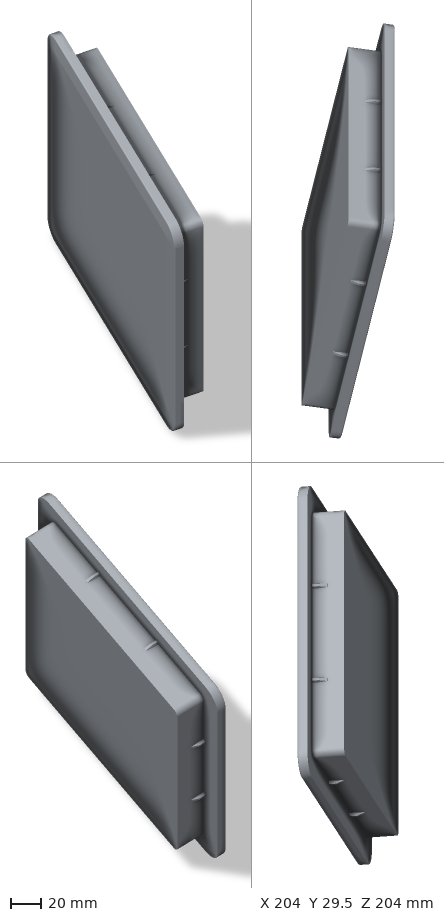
import cadquery as cq

bezel_size = 204.0
total_depth = 29.5

bezel_depth = 8.2
bezel_corner_radius = 13.7
slope_rise = 1.2
slope_inset = 10.8
rim_depth = bezel_depth - slope_rise
rim_edge_radius = 1.0
face_size = bezel_size - 2 * slope_inset

screen_size = 162.7
tab_left = 51.0
panel_thickness = 1.0

housing_size = 172.0
housing_corner_radius = 4.3
housing_depth = total_depth - bezel_depth

rib_spacing = 66.0
rib_length = 10.0
rib_knee = 4.7
rib_height = 2.0
rib_tip_height = 0.1
rib_tip_width = 2.2
rib_base_width = 3.3
rib_crest_width = 1.6
rib_embed = 1.0


def square_outline(size, radius):
    """Square sketch with rounded corners."""
    return cq.Sketch().rect(size, size).vertices().fillet(radius)


def rounded_plate(size, radius, front_y, depth):
    """Rounded square plate reaching from front_y towards +Y."""
    plane = cq.Workplane("XZ", origin=(0, front_y, 0))
    return plane.placeSketch(square_outline(size, radius)).extrude(-depth)


def make_bezel():
    """Rim with a rounded front edge, carrying the sloped border and the flat front face."""
    rim = rounded_plate(bezel_size, bezel_corner_radius, slope_rise, rim_depth)
    rim = rim.faces("<Y").edges().fillet(rim_edge_radius)

    base = square_outline(bezel_size - 2 * rim_edge_radius, bezel_corner_radius - rim_edge_radius)
    face = square_outline(face_size, bezel_corner_radius - slope_inset)
    raised_face = face.moved(cq.Location(cq.Vector(0, 0, slope_rise)))
    slope_plane = cq.Workplane("XZ", origin=(0, slope_rise, 0))
    slope = slope_plane.placeSketch(base, raised_face).loft(ruled=True)
    return rim.union(slope)


def rib_section(y, base_width, crest_width, height):
    """Trapezoid across a rib on the +Z wall, with its foot sunk into the housing."""
    wall_z = housing_size / 2
    corners = [
        (-base_width / 2, y, wall_z - rib_embed),
        (base_width / 2, y, wall_z - rib_embed),
        (base_width / 2, y, wall_z),
        (crest_width / 2, y, wall_z + height),
        (-crest_width / 2, y, wall_z + height),
        (-base_width / 2, y, wall_z),
    ]
    return cq.Wire.makePolygon([cq.Vector(*corner) for corner in corners], close=True)


def make_rib():
    """Rib on the +Z wall: full height by the bezel, then a ramp down to its tip."""
    knee = (rib_base_width, rib_crest_width, rib_height)
    root_section = rib_section(bezel_depth, *knee)
    knee_section = rib_section(bezel_depth + rib_knee, *knee)
    tip_section = rib_section(bezel_depth + rib_length, rib_tip_width, rib_tip_width, rib_tip_height)
    body = cq.Solid.makeLoft([root_section, knee_section, tip_section], True)
    return cq.Workplane(body)


def add_ribs(body):
    """Add a pair of ribs to each of the four housing walls."""
    rib = make_rib()
    for wall in range(4):
        for side in (-1, 1):
            shifted = rib.translate((side * rib_spacing / 2, 0, 0))
            body = body.union(shifted.rotate((0, 0, 0), (0, 1, 0), 90 * wall))
    return body


def add_flush_panel(body, left, right, bottom, top):
    """Set a rectangular panel flush into the front face, leaving only its seam visible."""
    panel = cq.Workplane("XY").box(right - left, panel_thickness, top - bottom, centered=False)
    panel = panel.translate((left, 0, bottom))
    return body.cut(panel, clean=False).union(panel, clean=False)


housing = rounded_plate(housing_size, housing_corner_radius, bezel_depth, housing_depth)
result = add_ribs(make_bezel().union(housing))

screen_edge = screen_size / 2
result = add_flush_panel(result, -screen_edge, screen_edge, -screen_edge, screen_edge)
result = add_flush_panel(result, tab_left, screen_edge, -face_size / 2, -screen_edge)